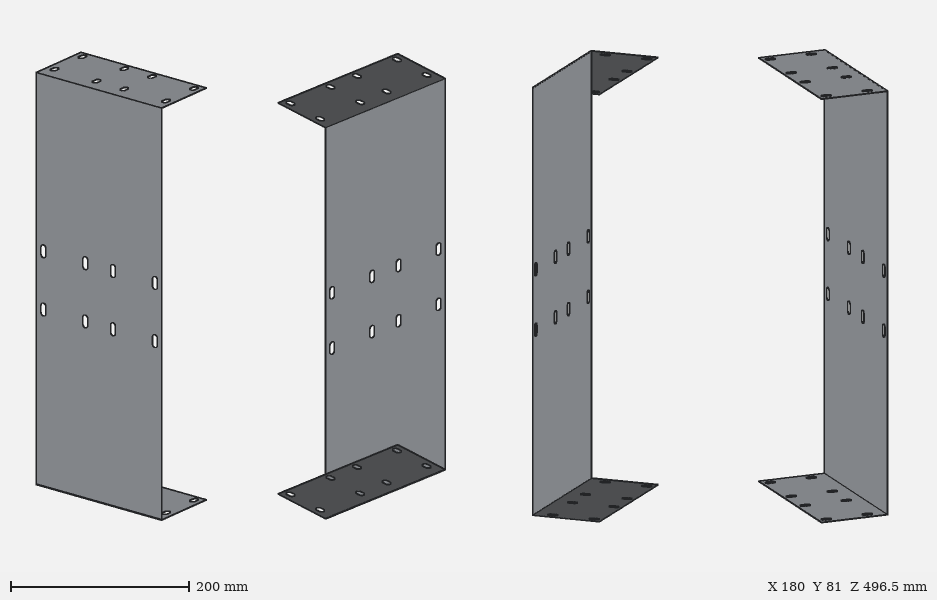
import cadquery as cq

width = 180.0
depth = 81.0
height = 496.5
thickness = 1.0

slot_width = 7.0
inner_column = 20.0
outer_column = 80.0
slot_columns = (-outer_column, -inner_column, inner_column, outer_column)

web_slot_length = 15.5
web_row_spacing = 70.0
web_rows = (-web_row_spacing / 2, web_row_spacing / 2)

flange_slot_length = 12.0
flange_edge_distance = 10.0
flange_row_spacing = 50.0
back_row = depth / 2 - flange_edge_distance
flange_rows = (back_row - flange_row_spacing, back_row)


def make_channel():
    """Web at the front (-Y) with square-cornered flanges running back at the top and the bottom."""
    outside = cq.Workplane("XY").box(width, depth, height)
    inside = (
        cq.Workplane("XY")
        .box(width, depth, height - 2 * thickness)
        .translate((0, thickness, 0))
    )
    return outside.cut(inside)


def make_slots(plane, rows, length, reach):
    """Slot cutters in every column of the given rows, reaching to both sides of the plane."""
    centers = [(column, row) for column in slot_columns for row in rows]
    return (
        cq.Workplane(plane)
        .pushPoints(centers)
        .slot2D(length, slot_width, 90)
        .extrude(reach, both=True)
    )


web_slots = make_slots("XZ", web_rows, web_slot_length, depth)
flange_slots = make_slots("XY", flange_rows, flange_slot_length, height)

result = make_channel().cut(web_slots).cut(flange_slots)